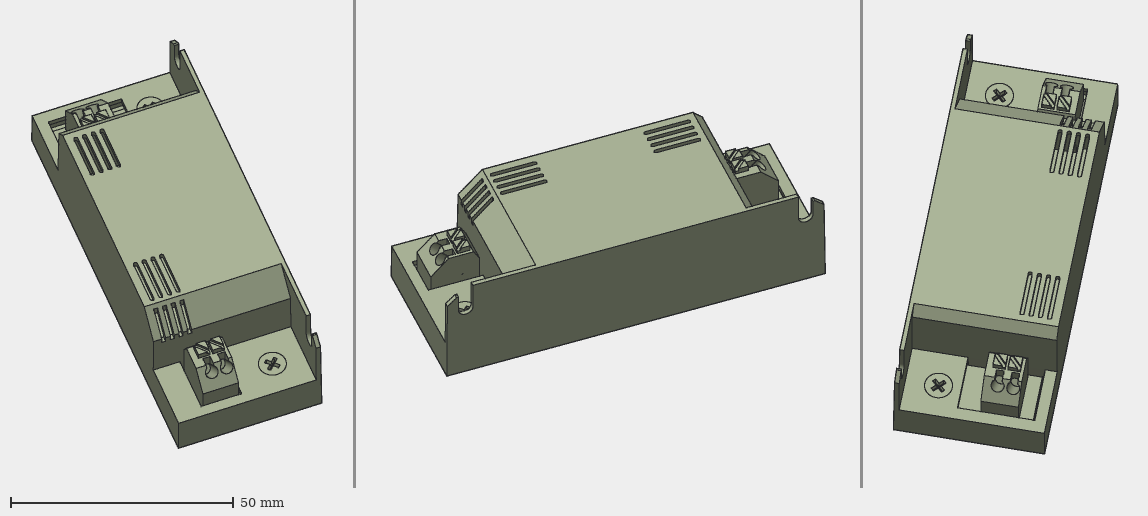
import cadquery as cq
import math

LENGTH = 91.3
WIDTH = 34.6
TOP_Z = 26.3
RIM_Z = 0.3
WALL = 1.3
DRAFT = 0.6
FLOOR_Z = 9.8
BACK_FACE_Y = 16.0

LEFT_END_X = -29.5
LEFT_CHAMFER = 2.3
RIGHT_END_X = 29.8
RIGHT_CHAMFER = 5.8
END_LEAN = 0.2

LUG_SLOT_X = 41.0
LUG_SLOT_DIAMETER = 3.5
LUG_SLOT_BOTTOM_Z = 18.0
LUG_TIP_Z = 23.8
LUG_TIP_WIDTH = 0.5
LUG_SHOULDER_Z = 21.6

LEFT_POCKET_X = -42.6
LEFT_POCKET_Y = (-14.4, 3.2)
RIGHT_POCKET_X = 43.0
RIGHT_POCKET_Y = (-10.8, -1.0)

VENT_COUNT = 4
VENT_PITCH = 2.1
VENT_WIDTH = 0.9
VENT_LENGTH = 11.1
VENT_FIRST_Y = -8.3
LEFT_VENT_X = -19.9
RIGHT_VENT_X = 17.2
SLOPE_VENT_X = 24.6

SCREW_X = 37.8
SCREW_Y = 8.4
SCREW_HEAD_DIAMETER = 6.3
SCREW_POST_DIAMETER = 5.5
CROSS_LENGTH = 3.5
CROSS_WIDTH = 0.8
CROSS_DEPTH = 0.8
CROSS_TAPER = 20

CORE_LENGTH = 88.6
CORE_WIDTH = 32.0
BOARD_LENGTH = 84.5
BOARD_WIDTH = 27.6
BOARD_THICKNESS = 1.5
BOARD_TOP_Z = 6.1

TERMINAL_LENGTH = 11.8
TERMINAL_WIDTH = 8.6
TERMINAL_TOP_Z = 17.4
TERMINAL_HEIGHT = TERMINAL_TOP_Z - BOARD_TOP_Z
ENTRY_SLOPE = 4.3
BACK_SLOPE_LENGTH = 1.5
BACK_SLOPE_HEIGHT = 2.5
LEFT_TERMINAL = (-36.0, -6.3)
RIGHT_TERMINAL = (36.3, -5.75)

WIRE_HOLE_DIAMETER = 2.9
WIRE_HOLE_DEPTH = 6.85
WIRE_HOLE_X = -2.9
WIRE_HOLES_Y = (1.0, -2.6)
WIRE_SLOT_WIDTH = 1.7
WIRE_SLOT_END_X = 0.4

BUTTON_LENGTH = 3.1
BUTTON_WIDTH = 2.8
BUTTON_HEIGHT = 1.4
BUTTON_X = 2.4
BUTTONS_Y = (1.4, -2.1)
GROOVE_WIDTH = 0.9
GROOVE_DEPTH = 0.6


def box_between(x_range, y_range, z_range):
    size = [high - low for low, high in (x_range, y_range, z_range)]
    corner = (x_range[0], y_range[0], z_range[0])
    return cq.Workplane("XY").box(*size, centered=False).translate(corner)


def drafted_block(length, width, top_z):
    """Block on the rim level whose four sides lean in by the draft angle."""
    height = top_z - RIM_Z
    return cq.Workplane("XY").workplane(offset=RIM_Z).rect(length, width).extrude(height, taper=DRAFT)


def extruded_along_y(sketch_xz):
    return sketch_xz.extrude(WIDTH, both=True)


def stepped_outline():
    """Side outline of decks and middle block, running past the ends and below the rim."""
    end_x = LENGTH / 2 + WALL
    bottom_z = RIM_Z - WALL
    left_wall_x = LEFT_END_X + END_LEAN
    right_wall_x = RIGHT_END_X - END_LEAN
    return (
        cq.Workplane("XZ")
        .moveTo(-end_x, bottom_z)
        .lineTo(-end_x, FLOOR_Z)
        .lineTo(LEFT_END_X, FLOOR_Z)
        .lineTo(left_wall_x, TOP_Z - LEFT_CHAMFER)
        .lineTo(left_wall_x + LEFT_CHAMFER, TOP_Z)
        .lineTo(right_wall_x - RIGHT_CHAMFER, TOP_Z)
        .lineTo(right_wall_x, TOP_Z - RIGHT_CHAMFER)
        .lineTo(RIGHT_END_X, FLOOR_Z)
        .lineTo(end_x, FLOOR_Z)
        .lineTo(end_x, bottom_z)
        .close()
    )


def back_wall():
    """Thin full-length back wall with its lugs beyond the two open slots."""
    radius = LUG_SLOT_DIAMETER / 2
    slot_z = LUG_SLOT_BOTTOM_Z + radius
    slot_inner_x = LUG_SLOT_X - radius
    slot_outer_x = LUG_SLOT_X + radius
    half = LENGTH / 2
    sketch = (
        cq.Workplane("XZ")
        .moveTo(0, RIM_Z)
        .lineTo(half, RIM_Z)
        .lineTo(half, LUG_SHOULDER_Z)
        .lineTo(slot_outer_x + LUG_TIP_WIDTH, LUG_TIP_Z)
        .lineTo(slot_outer_x, LUG_TIP_Z)
        .lineTo(slot_outer_x, slot_z)
        .threePointArc((LUG_SLOT_X, LUG_SLOT_BOTTOM_Z), (slot_inner_x, slot_z))
        .lineTo(slot_inner_x, TOP_Z)
        .lineTo(0, TOP_Z)
        .close()
    )
    right_half = extruded_along_y(sketch)
    wall = right_half.union(right_half.mirror("YZ"))
    slab = box_between((-half, half), (BACK_FACE_Y, WIDTH / 2), (RIM_Z, TOP_Z))
    return wall.intersect(slab)


def vents():
    """Slots through the top face and through the sloping right face."""
    cutters = cq.Workplane("XY")
    slope_corner_z = TOP_Z - RIGHT_CHAMFER
    for index in range(VENT_COUNT):
        y = VENT_FIRST_Y - index * VENT_PITCH
        top_slots = (
            cq.Workplane("XY")
            .workplane(offset=TOP_Z - WALL)
            .pushPoints([(LEFT_VENT_X, y), (RIGHT_VENT_X, y)])
            .slot2D(VENT_LENGTH, VENT_WIDTH)
            .extrude(WALL)
        )
        slope_slot = box_between(
            (SLOPE_VENT_X, RIGHT_END_X),
            (y - VENT_WIDTH / 2, y + VENT_WIDTH / 2),
            (slope_corner_z - WALL, TOP_Z),
        )
        cutters = cutters.add(top_slots).add(slope_slot)
    return cutters.combine()


def screw_cylinders(diameter, bottom_z):
    """One cylinder on each screw axis, up to the deck surface."""
    return (
        cq.Workplane("XY")
        .workplane(offset=bottom_z)
        .pushPoints([(-SCREW_X, SCREW_Y), (SCREW_X, SCREW_Y)])
        .circle(diameter / 2)
        .extrude(FLOOR_Z - bottom_z)
    )


def screw_heads():
    return screw_cylinders(SCREW_HEAD_DIAMETER, FLOOR_Z - WALL)


def end_wall_skirts():
    """Lower ends of the two end walls, which close the pockets down to the board."""
    height = (BOARD_TOP_Z, FLOOR_Z)
    left = box_between((LEFT_END_X, LEFT_END_X + WALL), LEFT_POCKET_Y, height)
    right = box_between((RIGHT_END_X - WALL, RIGHT_END_X), RIGHT_POCKET_Y, height)
    return left.union(right)


def make_housing():
    """Open-bottomed shell with decks, middle block and back wall."""
    middle = extruded_along_y(stepped_outline())
    outside = middle.union(back_wall()).intersect(drafted_block(LENGTH, WIDTH, TOP_Z))
    cavity = extruded_along_y(stepped_outline().offset2D(-WALL, "intersection"))
    cavity = cavity.intersect(drafted_block(CORE_LENGTH, CORE_WIDTH, TOP_Z))
    deck = (FLOOR_Z - WALL, FLOOR_Z)
    left_pocket = box_between((LEFT_POCKET_X, LEFT_END_X), LEFT_POCKET_Y, deck)
    right_pocket = box_between((RIGHT_END_X, RIGHT_POCKET_X), RIGHT_POCKET_Y, deck)
    return (
        outside.cut(cavity)
        .union(end_wall_skirts())
        .cut(left_pocket)
        .cut(right_pocket)
        .cut(vents())
        .cut(screw_heads())
    )


def terminal_body():
    front_x = -TERMINAL_LENGTH / 2
    back_x = TERMINAL_LENGTH / 2
    return (
        cq.Workplane("XZ")
        .moveTo(front_x, 0)
        .lineTo(front_x, TERMINAL_HEIGHT - ENTRY_SLOPE)
        .lineTo(front_x + ENTRY_SLOPE, TERMINAL_HEIGHT)
        .lineTo(back_x - BACK_SLOPE_LENGTH, TERMINAL_HEIGHT)
        .lineTo(back_x, TERMINAL_HEIGHT - BACK_SLOPE_HEIGHT)
        .lineTo(back_x, 0)
        .close()
        .extrude(TERMINAL_WIDTH / 2, both=True)
    )


def wire_entry(y):
    """Round hole square to the 45 degree face, opened to the top by a narrower slot."""
    slope_foot_z = TERMINAL_HEIGHT - ENTRY_SLOPE
    mouth_z = slope_foot_z + WIRE_HOLE_X + TERMINAL_LENGTH / 2
    inward = cq.Vector(1, 0, -1).normalized()
    hole = cq.Workplane(
        cq.Solid.makeCylinder(
            WIRE_HOLE_DIAMETER / 2,
            WIRE_HOLE_DEPTH,
            cq.Vector(WIRE_HOLE_X, y, mouth_z),
            inward,
        )
    )
    slot_length = WIRE_SLOT_END_X - WIRE_HOLE_X
    slot = (
        cq.Workplane("XZ", origin=(0, y, 0))
        .moveTo(WIRE_HOLE_X, mouth_z)
        .lineTo(WIRE_HOLE_X, TERMINAL_HEIGHT)
        .lineTo(WIRE_SLOT_END_X, TERMINAL_HEIGHT)
        .lineTo(WIRE_SLOT_END_X, mouth_z - slot_length)
        .close()
        .extrude(WIRE_SLOT_WIDTH / 2, both=True)
    )
    return hole.union(slot)


def release_button(y):
    """Square button with a diagonal screwdriver groove."""
    button = cq.Workplane("XY").box(BUTTON_LENGTH, BUTTON_WIDTH, BUTTON_HEIGHT, centered=(True, True, False))
    groove_length = BUTTON_LENGTH + BUTTON_WIDTH
    groove = (
        cq.Workplane("XY")
        .box(groove_length, GROOVE_WIDTH, GROOVE_DEPTH, centered=(True, True, False))
        .rotate((0, 0, 0), (0, 0, 1), math.degrees(math.atan2(BUTTON_WIDTH, BUTTON_LENGTH)))
        .translate((0, 0, BUTTON_HEIGHT - GROOVE_DEPTH))
    )
    return button.cut(groove).translate((BUTTON_X, y, TERMINAL_HEIGHT))


def terminal_block(center, turn):
    block = terminal_body()
    for y in WIRE_HOLES_Y:
        block = block.cut(wire_entry(y))
    for y in BUTTONS_Y:
        block = block.union(release_button(y))
    return block.rotate((0, 0, 0), (0, 0, 1), turn).translate((*center, BOARD_TOP_Z))


def cross_recesses():
    """Tapered cross recess in each screw head, turned 45 degrees."""
    arms = [
        cq.Workplane("XY")
        .rect(CROSS_LENGTH, CROSS_WIDTH)
        .extrude(-CROSS_DEPTH, taper=CROSS_TAPER)
        .rotate((0, 0, 0), (0, 0, 1), angle)
        for angle in (45, -45)
    ]
    cross = arms[0].union(arms[1])
    left = cross.translate((-SCREW_X, SCREW_Y, FLOOR_Z))
    right = cross.translate((SCREW_X, SCREW_Y, FLOOR_Z))
    return left.union(right)


def make_insert():
    """Bottom plate, core, board, screws and both terminal blocks as one solid."""
    plate = cq.Workplane("XY").rect(CORE_LENGTH, CORE_WIDTH).extrude(RIM_Z)
    board_bottom_z = BOARD_TOP_Z - BOARD_THICKNESS
    core = drafted_block(CORE_LENGTH, CORE_WIDTH, board_bottom_z)
    board = (
        cq.Workplane("XY")
        .workplane(offset=board_bottom_z)
        .rect(BOARD_LENGTH, BOARD_WIDTH)
        .extrude(BOARD_THICKNESS)
    )
    posts = screw_cylinders(SCREW_POST_DIAMETER, BOARD_TOP_Z)
    screws = screw_heads().union(posts).cut(cross_recesses())
    return (
        plate.union(core)
        .union(board)
        .union(screws)
        .union(terminal_block(LEFT_TERMINAL, 0))
        .union(terminal_block(RIGHT_TERMINAL, 180))
    )


housing = make_housing()
insert = make_insert()

result = cq.Compound.makeCompound([*housing.solids().vals(), *insert.solids().vals()])